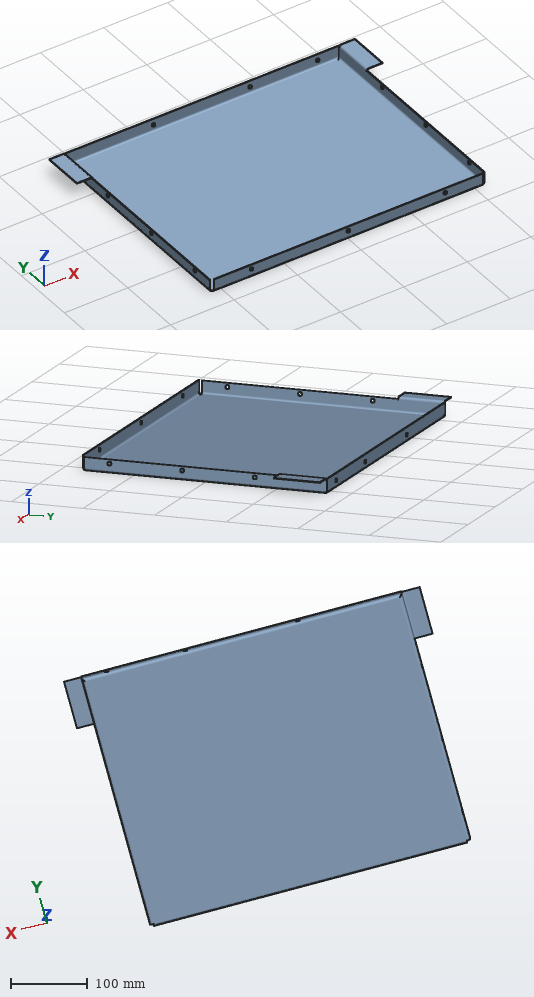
import cadquery as cq
import math

overall_width = 481.5
tray_width = 433.5
tray_depth = 343.0
overall_height = 21.5
sheet = 1.2
inner_bend = 3.0
outer_bend = inner_bend + sheet
wall_height = 20.0
side_wall_height = 19.0

front_gap_depth = 3.5
front_gap_width = 5.0

tab_length = 64.5
tab_inner_bend = 2.5
tab_outer_bend = tab_inner_bend + sheet

hole_diameter = 5.5
hole_height = 13.0
rear_hole_height = 10.0
front_hole_xs = (-152.5, 0.0, 152.5)
rear_hole_xs = (-76.0, 76.0, 182.5)
side_hole_pitch = 101.5
side_hole_centre_y = -31.5
side_hole_ys = [side_hole_centre_y + step * side_hole_pitch for step in (-1, 0, 1)]

half_width = tray_width / 2
half_depth = tray_depth / 2
tab_rear_y = half_depth - sheet
tab_front_y = tab_rear_y - tab_length
fold_start_z = overall_height - tab_outer_bend
fold_centre_x = half_width + tab_inner_bend


def block(x_range, y_range, z_range):
    """Axis-aligned box between pairs of limits."""
    size = [high - low for low, high in (x_range, y_range, z_range)]
    corner = (x_range[0], y_range[0], z_range[0])
    return cq.Workplane("XY").box(*size, centered=False).translate(corner)


def round_bottomed_block(inset, bend_radius):
    """Tray-sized block, inset on the sides and base, with rounded bottom edges."""
    body = block(
        (inset - half_width, half_width - inset),
        (inset - half_depth, half_depth - inset),
        (inset, wall_height + inset),
    )
    return body.faces("<Z").edges().fillet(bend_radius)


def right_tab():
    """Short length of wall top that curves outward into a flat tab."""
    diagonal = math.sqrt(0.5)
    profile = (
        cq.Workplane("XZ", origin=(0, tab_rear_y, 0))
        .moveTo(half_width - sheet, fold_start_z)
        .threePointArc(
            (fold_centre_x - tab_outer_bend * diagonal, fold_start_z + tab_outer_bend * diagonal),
            (fold_centre_x, overall_height),
        )
        .lineTo(overall_width / 2, overall_height)
        .lineTo(overall_width / 2, overall_height - sheet)
        .lineTo(fold_centre_x, overall_height - sheet)
        .threePointArc(
            (fold_centre_x - tab_inner_bend * diagonal, fold_start_z + tab_inner_bend * diagonal),
            (half_width, fold_start_z),
        )
        .close()
    )
    return profile.extrude(tab_length)


def wall_hole(x, y, z, direction):
    """Drill that crosses one wall, centred on the wall's outer face."""
    reach = 2 * outer_bend
    centre = cq.Vector(x, y, z)
    axis = cq.Vector(*direction)
    start = centre - axis * (reach / 2)
    return cq.Workplane(cq.Solid.makeCylinder(hole_diameter / 2, reach, start, axis))


tray = round_bottomed_block(0, outer_bend).cut(round_bottomed_block(sheet, inner_bend))

right_gap = block(
    (half_width - front_gap_width, half_width),
    (-half_depth, front_gap_depth - half_depth),
    (0, wall_height),
)
tray = tray.cut(right_gap).cut(right_gap.mirror("YZ"))

for wall_front_y, wall_top_z in ((-half_depth, side_wall_height), (tab_front_y, fold_start_z)):
    right_wall_top = block(
        (half_width - sheet, half_width),
        (wall_front_y, tab_rear_y),
        (wall_top_z, wall_height),
    )
    tray = tray.cut(right_wall_top).cut(right_wall_top.mirror("YZ"))
tray = tray.union(right_tab()).union(right_tab().mirror("YZ"))

for hole_x in front_hole_xs:
    tray = tray.cut(wall_hole(hole_x, -half_depth, hole_height, (0, 1, 0)))
for hole_x in rear_hole_xs:
    tray = tray.cut(wall_hole(hole_x, half_depth, rear_hole_height, (0, 1, 0)))
for hole_y in side_hole_ys:
    for wall_x in (-half_width, half_width):
        tray = tray.cut(wall_hole(wall_x, hole_y, hole_height, (1, 0, 0)))

result = tray